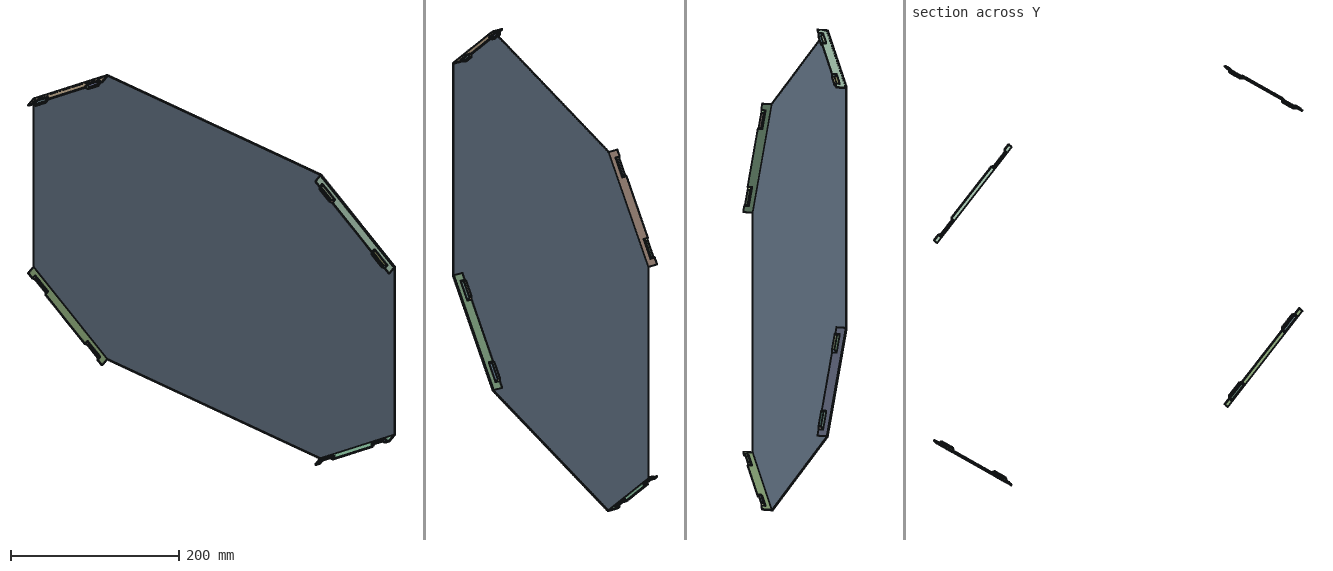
import cadquery as cq
import math

panel_size = 506.5
panel_depth = 12.5
sheet = 1.25
corner_leg = 103.5

recess_width = 25.5
recess_height = 5.5
recess_depth = 3.0
recess_draft = 2.5
recess_end_distance = 21.5

front_y = -panel_depth / 2
back_y = panel_depth / 2
flange_length = corner_leg * math.sqrt(2)
flange_distance = (panel_size - corner_leg) / math.sqrt(2)
recess_offset = flange_length / 2 - recess_end_distance


def make_plate():
    """Square back sheet with its four corners cut at 45 degrees."""
    return (
        cq.Workplane("XY")
        .box(panel_size, sheet, panel_size)
        .edges("|Y")
        .chamfer(corner_leg)
        .translate((0, back_y - sheet / 2, 0))
    )


def recess_form(x_center, outer_z):
    """Tapered block sinking from outer_z, with sloped ends and back and a flush front."""
    floor_width = recess_width - 2 * recess_draft
    floor_height = recess_height - recess_draft
    return (
        cq.Workplane("XY", origin=(x_center, front_y, outer_z))
        .center(0, recess_height / 2)
        .rect(recess_width, recess_height)
        .workplane(offset=-recess_depth)
        .center(0, -recess_draft / 2)
        .rect(floor_width, floor_height)
        .loft(ruled=True)
    )


def make_flange():
    """Flange at the +Z side, before it is turned onto a corner cut."""
    flange = cq.Workplane("XY").box(flange_length, panel_depth, sheet)
    flange = flange.translate((0, 0, flange_distance - sheet / 2))
    for x_center in (-recess_offset, recess_offset):
        pressed_metal = recess_form(x_center, flange_distance - sheet)
        hollow = recess_form(x_center, flange_distance)
        flange = flange.union(pressed_metal).cut(hollow)
    return flange


result = make_plate()
corner_flange = make_flange()
for angle in (45, 135, 225, 315):
    result = result.union(corner_flange.rotate((0, 0, 0), (0, 1, 0), angle))